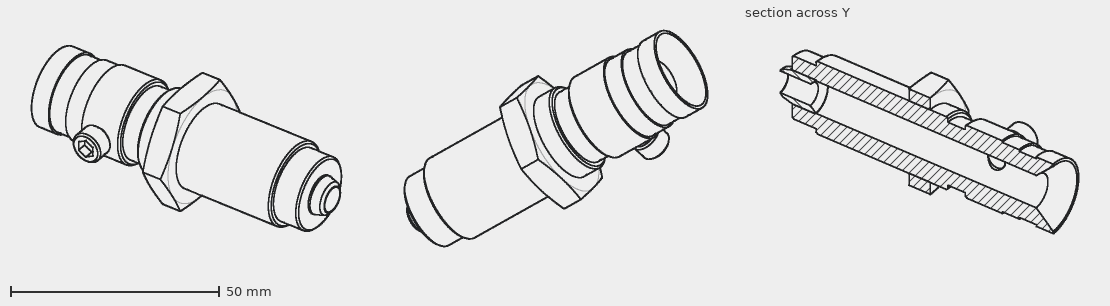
import cadquery as cq
import math


inlet_collar_end = 5.0
hose_groove_end = 10.0
second_collar_end = 15.0
clamp_land_end = 26.0
neck_end = 31.0
main_barrel_end = 70.0
housing_length = 77.0
collar_radius = 10.5
groove_radius = 10.0
barrel_radius = 11.0
neck_radius = 9.55
edge_chamfer = 0.5

flare_rim_radius = 9.75
flare_depth = 5.0
bore_radius = 4.8

insert_radius = 5.0
insert_start = main_barrel_end
insert_end = 80.57
nozzle_radius = 3.2
funnel_depth = bore_radius - nozzle_radius
tip_taper_start = 77.5
tip_taper_end = 79.85
tip_taper_end_radius = 4.25
tip_end_radius = 3.45

nut_across_flats = 29.06
nut_start = 36.25
nut_thickness = 6.35
nut_bevel_angle = 15.0

screw_x = 20.2
screw_shank_radius = 2.5
screw_head_radius = 4.0
screw_head_top = 16.75
screw_head_height = 5.0
screw_tip_gap = 0.2
screw_edge_chamfer = 0.5
socket_across_flats = 4.2
socket_depth = 2.5


def hexagon_diameter(across_flats):
    """Diameter across the corners of a hexagon."""
    return across_flats / math.cos(math.pi / 6)


def turned(profile):
    """Revolve a closed (x, radius) profile about the X axis."""
    return cq.Workplane("XY").polyline(profile).close().revolve(360, (0, 0, 0), (1, 0, 0))


def screw_cylinder(radius, outer_end, length):
    """Cylinder on the screw axis, running inward from y = -outer_end."""
    plane = cq.Plane(origin=(screw_x, -outer_end, 0), xDir=(1, 0, 0), normal=(0, 1, 0))
    return cq.Workplane(plane).circle(radius).extrude(length)


def make_housing():
    """Stepped barrel with flared inlet, straight bore, insert seat and clamp screw hole."""
    chamfered_barrel = barrel_radius - edge_chamfer
    body = turned([
        (0, flare_rim_radius),
        (0, collar_radius),
        (inlet_collar_end, collar_radius),
        (inlet_collar_end, groove_radius),
        (hose_groove_end, groove_radius),
        (hose_groove_end, collar_radius),
        (second_collar_end, collar_radius),
        (second_collar_end, barrel_radius),
        (clamp_land_end - edge_chamfer, barrel_radius),
        (clamp_land_end, chamfered_barrel),
        (clamp_land_end, neck_radius),
        (neck_end, neck_radius),
        (neck_end, chamfered_barrel),
        (neck_end + edge_chamfer, barrel_radius),
        (main_barrel_end - edge_chamfer, barrel_radius),
        (main_barrel_end, chamfered_barrel),
        (main_barrel_end, neck_radius),
        (housing_length - edge_chamfer, neck_radius),
        (housing_length, neck_radius - edge_chamfer),
        (housing_length, insert_radius),
        (insert_start, insert_radius),
        (insert_start, bore_radius),
        (flare_depth, bore_radius),
    ])
    screw_hole = screw_cylinder(screw_shank_radius, screw_head_top, screw_head_top)
    return body.cut(screw_hole)


def make_insert():
    """Nozzle with a 45 degree entry funnel, a straight hole and a tapered, chamfered tip."""
    return turned([
        (insert_start, bore_radius),
        (insert_start, insert_radius),
        (tip_taper_start, insert_radius),
        (tip_taper_end, tip_taper_end_radius),
        (insert_end, tip_end_radius),
        (insert_end, nozzle_radius),
        (insert_start + funnel_depth, nozzle_radius),
    ])


def make_nut():
    """Hexagon nut with flats facing +Z and -Z and both faces bevelled."""
    corner_diameter = hexagon_diameter(nut_across_flats)
    blank = (
        cq.Workplane("YZ", origin=(nut_start, 0, 0))
        .polygon(6, corner_diameter)
        .circle(barrel_radius)
        .extrude(nut_thickness)
    )
    face_radius = nut_across_flats / 2
    envelope_radius = corner_diameter
    bevel_depth = (envelope_radius - face_radius) * math.tan(math.radians(nut_bevel_angle))
    nut_end = nut_start + nut_thickness
    envelope = turned([
        (nut_start, 0),
        (nut_start, face_radius),
        (nut_start + bevel_depth, envelope_radius),
        (nut_end - bevel_depth, envelope_radius),
        (nut_end, face_radius),
        (nut_end, 0),
    ])
    return blank.intersect(envelope)


def make_screw():
    """Socket head screw whose shank stops just short of the housing bore."""
    head = screw_cylinder(screw_head_radius, screw_head_top, screw_head_height)
    head = head.faces("<Y or >Y").chamfer(screw_edge_chamfer)
    socket_plane = cq.Plane(origin=(screw_x, -screw_head_top, 0), xDir=(0, 0, 1), normal=(0, 1, 0))
    socket = (
        cq.Workplane(socket_plane)
        .polygon(6, hexagon_diameter(socket_across_flats))
        .extrude(socket_depth)
    )
    shank_outer_end = screw_head_top - screw_head_height
    shank_length = shank_outer_end - bore_radius - screw_tip_gap
    shank = screw_cylinder(screw_shank_radius, shank_outer_end, shank_length)
    return head.cut(socket).union(shank)


housing = make_housing()
insert = make_insert()
nut = make_nut()
screw = make_screw()

result = cq.Compound.makeCompound([housing.val(), insert.val(), nut.val(), screw.val()])